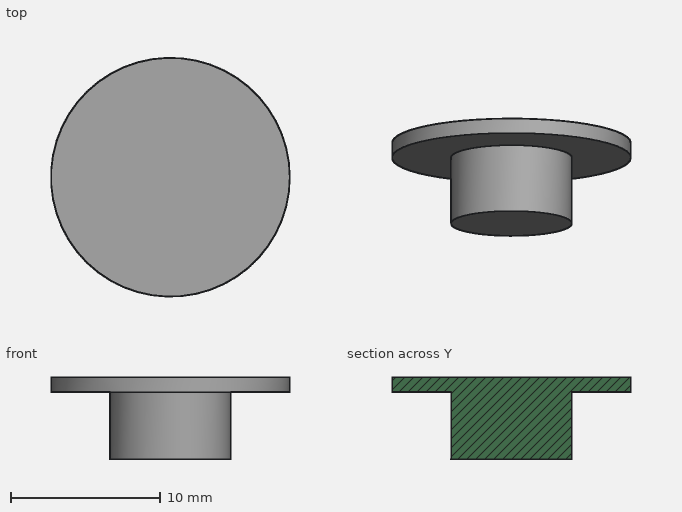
import cadquery as cq

FLANGE_DIAMETER = 16.0
FLANGE_THICKNESS = 1.0
STEM_DIAMETER = 8.1
TOTAL_HEIGHT = 5.5

STEM_LENGTH = TOTAL_HEIGHT - FLANGE_THICKNESS


def make_stem():
    """Solid round stem standing on the XY plane, centred on Z."""
    return cq.Workplane("XY").circle(STEM_DIAMETER / 2).extrude(STEM_LENGTH)


def add_flange(stem):
    """Thin round flange covering the top end of the stem."""
    return stem.faces(">Z").workplane().circle(FLANGE_DIAMETER / 2).extrude(FLANGE_THICKNESS)


result = add_flange(make_stem())